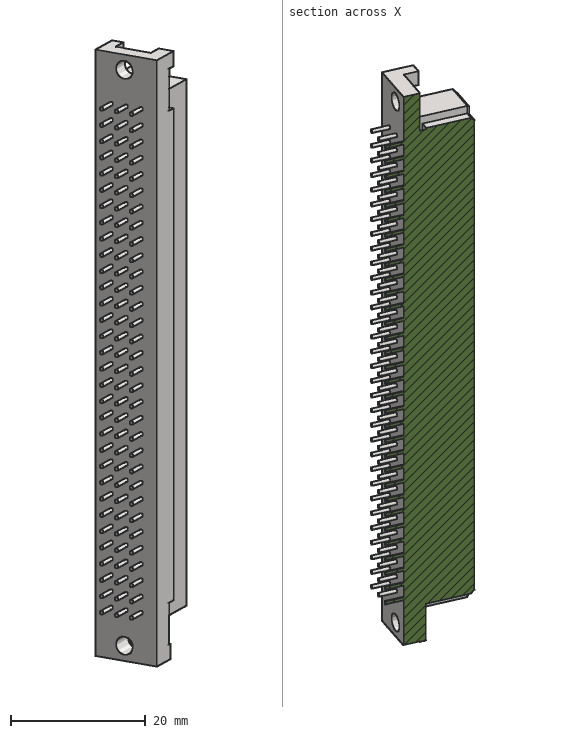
import cadquery as cq
import math


BASE_WIDTH = 10.5
BASE_LENGTH = 94.8
BASE_DEPTH = 5.1
THIN_DEPTH = 3.7
SHOULDER_LENGTH = 76.9
LIP_LENGTH = 2.4
BOTTOM_LIP_DEPTH = 4.2

HOLE_X = -0.3
HOLE_SPACING = 90.0
HOLE_DIAMETER = 2.8
CHANNEL_WIDTH = 6.0
CHANNEL_FLOOR = 2.7
RAMP_ANGLE = 60.0

BLOCK_WIDTH = 8.3
BLOCK_LENGTH = 84.9
BLOCK_BACK = 11.6
BLOCK_CHAMFER = 0.6
STEP_X = 1.25
STEP_DROP = 1.3
TONGUE_LEFT = -1.8

PIN_DIAMETER = 0.6
PIN_LENGTH = 2.9
PIN_PITCH = 2.54
PIN_ROWS = 32
PIN_COLUMNS = 3

TAB_HEIGHT = 0.1
TAB_THICKNESS = 0.8


def box(x_range, y_range, z_range):
    """Box spanning the given (low, high) ranges."""
    (x0, x1), (y0, y1), (z0, z1) = x_range, y_range, z_range
    return cq.Workplane("XY").box(x1 - x0, y1 - y0, z1 - z0, centered=False).translate((x0, y0, z0))


def centred(size):
    """Range of the given size centred on zero."""
    return (-size / 2, size / 2)


CHANNEL_X = (HOLE_X - CHANNEL_WIDTH / 2, HOLE_X + CHANNEL_WIDTH / 2)
BASE_TOP = BASE_LENGTH / 2
BLOCK_TOP = BLOCK_LENGTH / 2
STEP_TOP = BLOCK_TOP - STEP_DROP


def make_base():
    full_width = centred(BASE_WIDTH)
    base = box(full_width, (0, THIN_DEPTH), centred(BASE_LENGTH))
    base = base.union(box(full_width, (0, BASE_DEPTH), centred(SHOULDER_LENGTH)))
    base = base.union(box(full_width, (0, BASE_DEPTH), (BASE_TOP - LIP_LENGTH, BASE_TOP)))
    base = base.union(box(full_width, (0, BOTTOM_LIP_DEPTH), (-BASE_TOP, LIP_LENGTH - BASE_TOP)))
    base = base.cut(box(CHANNEL_X, (CHANNEL_FLOOR, BASE_DEPTH), (STEP_TOP, BASE_TOP)))
    return base.cut(box(CHANNEL_X, (THIN_DEPTH, BASE_DEPTH), (-BASE_TOP, -STEP_TOP)))


def make_block():
    long_side = box((-BLOCK_WIDTH / 2, STEP_X), (THIN_DEPTH, BLOCK_BACK), centred(BLOCK_LENGTH))
    short_side = box(centred(BLOCK_WIDTH), (THIN_DEPTH, BLOCK_BACK), centred(2 * STEP_TOP))
    block = long_side.union(short_side).faces(">Y").chamfer(BLOCK_CHAMFER)
    tongue = box((TONGUE_LEFT, STEP_X), (CHANNEL_FLOOR, THIN_DEPTH), (STEP_TOP, BLOCK_TOP))
    return block.union(tongue)


def make_ramp_pocket():
    """Cutter for the wedge-shaped pocket between the tongue and the channel's right wall."""
    right_wall = CHANNEL_X[1]
    depth = (right_wall - STEP_X) * math.tan(math.radians(RAMP_ANGLE))
    corners = [(STEP_X, STEP_TOP), (right_wall, STEP_TOP), (STEP_X, STEP_TOP - depth)]
    front = cq.Workplane("XZ", origin=(0, CHANNEL_FLOOR, 0))
    return front.polyline(corners).close().extrude(CHANNEL_FLOOR - THIN_DEPTH)


def make_pins():
    front = cq.Workplane("XZ").rarray(PIN_PITCH, PIN_PITCH, PIN_COLUMNS, PIN_ROWS)
    return front.circle(PIN_DIAMETER / 2).extrude(PIN_LENGTH)


def make_tab():
    tab_y = (CHANNEL_FLOOR, CHANNEL_FLOOR + TAB_THICKNESS)
    return box(CHANNEL_X, tab_y, (-BASE_TOP - TAB_HEIGHT, -BASE_TOP))


def make_hole_cutters():
    front = cq.Workplane("XZ").center(HOLE_X, 0).rarray(1, HOLE_SPACING, 1, 2)
    return front.circle(HOLE_DIAMETER / 2).extrude(-BASE_DEPTH)


base = make_base().cut(make_hole_cutters()).cut(make_ramp_pocket())
result = base.union(make_block()).union(make_pins()).union(make_tab())